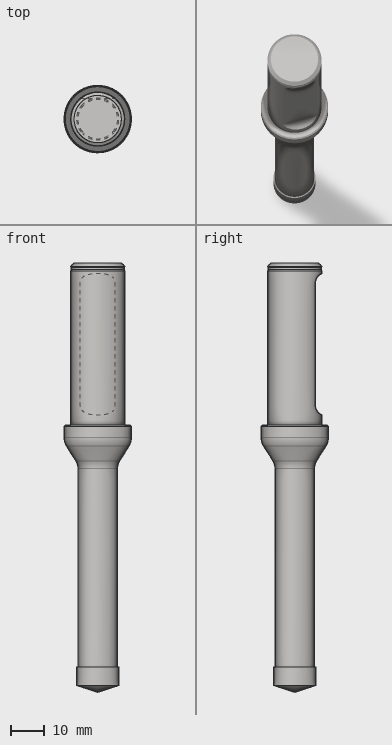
import cadquery as cq
import math

total_length = 127.0

tip_radius = 12.5 / 2
point_height = 2.0
tip_top = 7.5

stem_radius = 11.7 / 2
flange_radius = 20.0 / 2
flange_bottom = 75.3
flange_top = 79.0
flange_chamfer = 0.4
shank_radius = 16.0 / 2
end_chamfer = 1.0

taper_angle = math.radians(32)
shoulder_radius = 4.6
neck_radius = 4.3

groove_depth = 0.1
groove_wall_height = 0.4
groove_top = total_length - end_chamfer
groove_bottom = 124.6

flat_depth = 1.9
flat_top = 123.8
flat_bottom = 82.0
runout_radius = 3.2


def make_tip():
    """Cylinder with a conical drill point."""
    return (
        cq.Workplane("XZ")
        .moveTo(0, 0)
        .lineTo(tip_radius, point_height)
        .lineTo(tip_radius, tip_top)
        .lineTo(0, tip_top)
        .close()
        .revolve(360, (0, 0), (0, 1))
    )


def make_turned_body():
    """Stem, tapered flange and shank turned as one profile."""

    def arc_point(center, radius, angle):
        """Point (radius, height) on an arc, with the angle measured below the +radius direction."""
        return center[0] + radius * math.cos(angle), center[1] - radius * math.sin(angle)

    shoulder_center = (flange_radius - shoulder_radius, flange_bottom)
    shoulder_mid = arc_point(shoulder_center, shoulder_radius, taper_angle / 2)
    cone_top = arc_point(shoulder_center, shoulder_radius, taper_angle)

    cone_bottom_radius = stem_radius + neck_radius * (1 - math.cos(taper_angle))
    cone_bottom_z = cone_top[1] - (cone_top[0] - cone_bottom_radius) / math.tan(taper_angle)
    neck_bottom_z = cone_bottom_z - neck_radius * math.sin(taper_angle)
    neck_center = (stem_radius + neck_radius, neck_bottom_z)
    neck_mid = arc_point(neck_center, -neck_radius, taper_angle / 2)

    return (
        cq.Workplane("XZ")
        .moveTo(0, tip_top)
        .lineTo(stem_radius, tip_top)
        .lineTo(stem_radius, neck_bottom_z)
        .threePointArc(neck_mid, (cone_bottom_radius, cone_bottom_z))
        .lineTo(*cone_top)
        .threePointArc(shoulder_mid, (flange_radius, flange_bottom))
        .lineTo(flange_radius, flange_top - flange_chamfer)
        .lineTo(flange_radius - flange_chamfer, flange_top)
        .lineTo(shank_radius, flange_top)
        .lineTo(shank_radius, total_length - end_chamfer)
        .lineTo(shank_radius - end_chamfer, total_length)
        .lineTo(0, total_length)
        .close()
        .revolve(360, (0, 0), (0, 1))
    )


def make_groove_cutter():
    """Ring that removes the shallow groove from the shank."""
    floor_radius = shank_radius - groove_depth
    return (
        cq.Workplane("XZ")
        .moveTo(shank_radius, groove_bottom)
        .lineTo(floor_radius, groove_bottom + groove_wall_height)
        .lineTo(floor_radius, groove_top - groove_wall_height)
        .lineTo(shank_radius, groove_top)
        .close()
        .revolve(360, (0, 0), (0, 1))
    )


def make_flat_cutter():
    """Slab whose inner face is the flat and whose ends curve out through the shank surface."""
    flat_y = shank_radius - flat_depth
    runout_angle = math.acos(1 - flat_depth / runout_radius)
    runout_length = runout_radius * math.sin(runout_angle)
    mid_y = flat_y + runout_radius * (1 - math.cos(runout_angle / 2))
    mid_offset = runout_length - runout_radius * math.sin(runout_angle / 2)
    return (
        cq.Workplane("YZ")
        .moveTo(shank_radius, flat_bottom)
        .threePointArc((mid_y, flat_bottom + mid_offset), (flat_y, flat_bottom + runout_length))
        .lineTo(flat_y, flat_top - runout_length)
        .threePointArc((mid_y, flat_top - mid_offset), (shank_radius, flat_top))
        .close()
        .extrude(shank_radius, both=True)
    )


tip = make_tip()
body = make_turned_body().cut(make_groove_cutter()).cut(make_flat_cutter())

result = cq.Compound.makeCompound([body.val(), tip.val()])